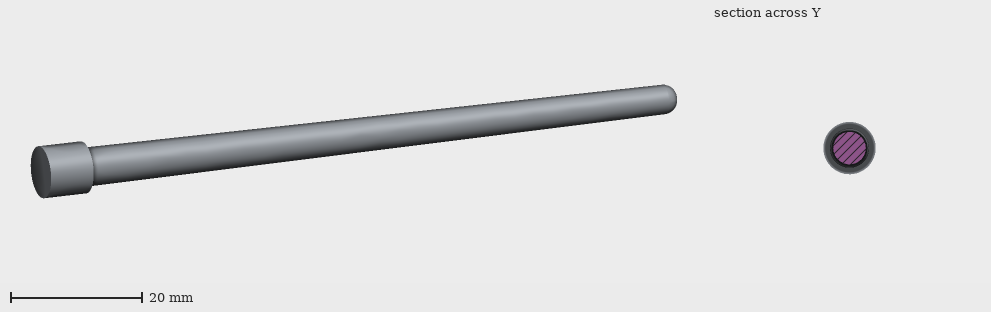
import cadquery as cq

total_length = 105.0
head_diameter = 8.0
head_length = 7.0
shank_root_diameter = 6.0
shank_end_diameter = 4.5
tip_length = 2.0
tip_face_diameter = 0.5

head_radius = head_diameter / 2
root_radius = shank_root_diameter / 2
end_radius = shank_end_diameter / 2
tip_face_radius = tip_face_diameter / 2
shank_end = total_length - tip_length

profile = (
    cq.Workplane("XY")
    .lineTo(head_radius, 0)
    .lineTo(head_radius, head_length)
    .lineTo(root_radius, head_length)
    .lineTo(end_radius, shank_end)
    .tangentArcPoint((tip_face_radius, total_length), relative=False)
    .lineTo(0, total_length)
    .close()
)

result = profile.revolve(360, (0, 0, 0), (0, 1, 0))